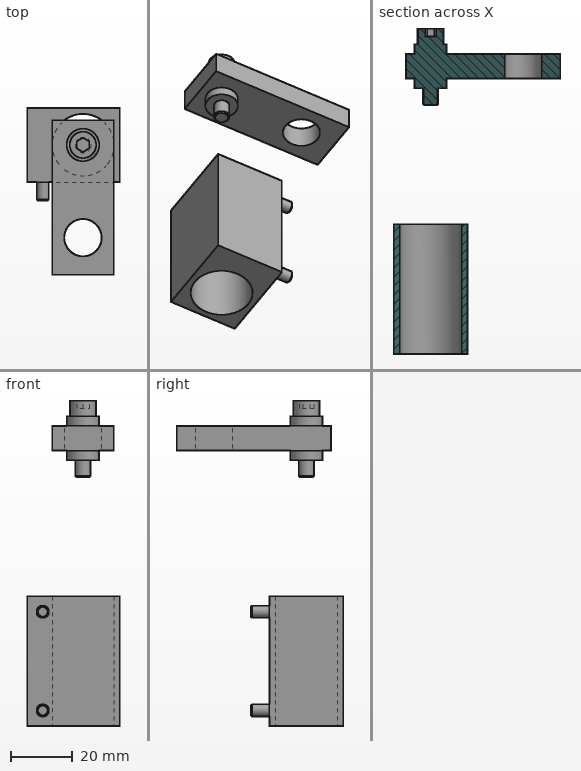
import cadquery as cq
import math

TOTAL_HEIGHT = 105.2

BLOCK_WIDTH = 30.0
BLOCK_DEPTH = 24.0
BLOCK_HEIGHT = 42.0
BORE_DIAMETER = 20.0
BORE_OFFSET = 3.0
PIN_DIAMETER = 4.0
PIN_LENGTH = 6.0
PIN_EDGE_DISTANCE = 5.0
PIN_CHAMFER = 0.4

ARM_WIDTH = 20.0
ARM_LENGTH = 50.0
ARM_THICKNESS = 8.0
ARM_END_DISTANCE = 8.0
ARM_HOLE_DIAMETER = 12.0
ARM_HOLE_SPACING = 30.0

COLLAR_DIAMETER = 10.5
COLLAR_HEIGHT = 3.2
HEAD_DIAMETER = 8.5
HEAD_HEIGHT = 5.0
SOCKET_ACROSS_FLATS = 4.0
SOCKET_DEPTH = 2.5
SHANK_DIAMETER = 5.0
SHANK_LENGTH = 5.4
SHANK_CHAMFER = 0.4

block_left = -BORE_OFFSET - BLOCK_WIDTH / 2
block_front = -BLOCK_DEPTH / 2
head_bottom = TOTAL_HEIGHT - HEAD_HEIGHT
arm_top = head_bottom - COLLAR_HEIGHT
arm_bottom = arm_top - ARM_THICKNESS
lower_collar_bottom = arm_bottom - COLLAR_HEIGHT
shank_bottom = lower_collar_bottom - SHANK_LENGTH


def cylinder(diameter, bottom, top):
    """Upright cylinder on the Z axis between two levels."""
    return cq.Workplane("XY").workplane(offset=bottom).circle(diameter / 2).extrude(top - bottom)


def locating_pin(height):
    """Pin projecting from the front face of the block, chamfered at its free end."""
    pin_x = block_left + PIN_EDGE_DISTANCE
    pin = (
        cq.Workplane("XZ", origin=(pin_x, block_front, height))
        .circle(PIN_DIAMETER / 2)
        .extrude(PIN_LENGTH)
    )
    return pin.faces("<Y").chamfer(PIN_CHAMFER)


def guide_block():
    """Block with a through bore and a pin near each end of its front face."""
    body = cq.Workplane("XY").box(BLOCK_WIDTH, BLOCK_DEPTH, BLOCK_HEIGHT, centered=(True, True, False))
    body = body.translate((-BORE_OFFSET, 0, 0))
    body = body.cut(cylinder(BORE_DIAMETER, 0, BLOCK_HEIGHT))
    for height in (PIN_EDGE_DISTANCE, BLOCK_HEIGHT - PIN_EDGE_DISTANCE):
        body = body.union(locating_pin(height))
    return body


def arm_plate():
    """Flat bar with a through hole towards its front end."""
    centre_y = ARM_END_DISTANCE - ARM_LENGTH / 2
    plate = cq.Workplane("XY").box(ARM_WIDTH, ARM_LENGTH, ARM_THICKNESS, centered=(True, True, False))
    plate = plate.translate((0, centre_y, arm_bottom))
    hole = cylinder(ARM_HOLE_DIAMETER, arm_bottom, arm_top).translate((0, -ARM_HOLE_SPACING, 0))
    return plate.cut(hole)


def hex_socket():
    """Hexagonal recess volume with two corners on the Y direction."""
    across_corners = SOCKET_ACROSS_FLATS / math.cos(math.pi / 6)
    hexagon = cq.Workplane("XY").polygon(6, across_corners).extrude(SOCKET_DEPTH)
    return hexagon.rotate((0, 0, 0), (0, 0, 1), 90).translate((0, 0, TOTAL_HEIGHT - SOCKET_DEPTH))


def clamp_arm():
    """Arm in one piece with the bushing collars, screw head and screw shank."""
    collars = cylinder(COLLAR_DIAMETER, lower_collar_bottom, head_bottom)
    head = cylinder(HEAD_DIAMETER, head_bottom, TOTAL_HEIGHT).cut(hex_socket())
    shank = cylinder(SHANK_DIAMETER, shank_bottom, lower_collar_bottom).faces("<Z").chamfer(SHANK_CHAMFER)
    return arm_plate().union(collars).union(head).union(shank)


block = guide_block().solids()
arm = clamp_arm().solids()
result = cq.Compound.makeCompound([block.val(), arm.val()])